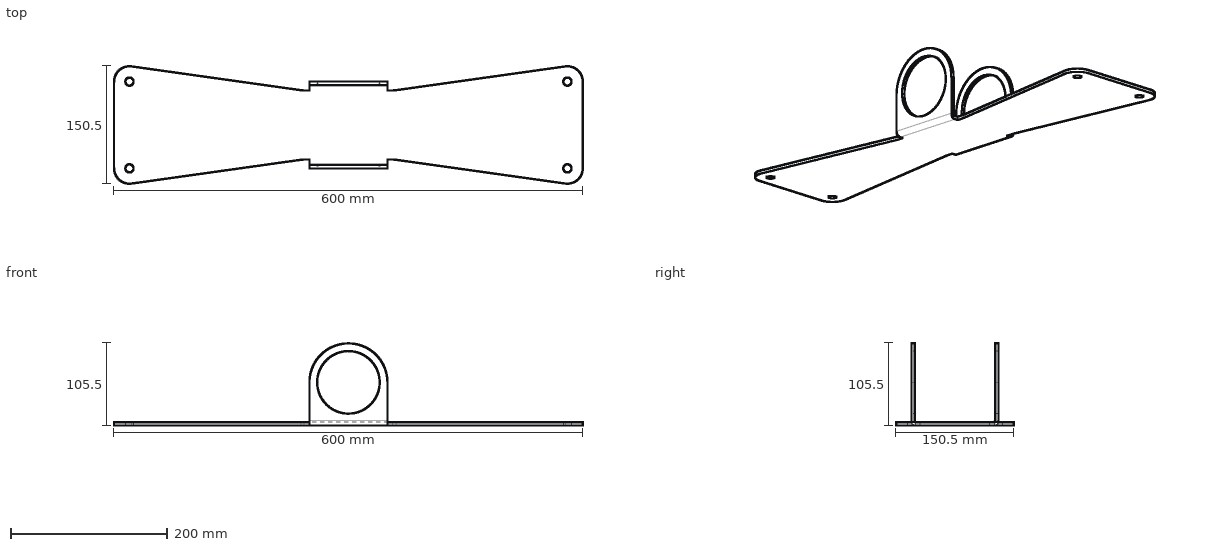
import cadquery as cq
import math

length = 600.0
width = 150.5
thickness = 4.5
corner_radius = 20.0
neck_width = 89.0
neck_half_length = 59.0
neck_blend_radius = 30.0
mount_hole_diameter = 10.0

tab_width = 100.0
tab_span = 111.5
total_height = 105.5
bend_inner_radius = 2.0
ring_hole_diameter = 80.0

corner_x = length / 2 - corner_radius
corner_y = width / 2 - corner_radius

bend_outer_radius = bend_inner_radius + thickness
tab_radius = tab_width / 2
ring_center_z = total_height - tab_radius


def make_plate():
    """Bow-tie plate whose tapered edges run tangent into the rounded corners."""
    run = corner_x - neck_half_length
    rise = corner_y - neck_width / 2
    taper = math.atan2(rise, run) + math.asin(corner_radius / math.hypot(run, rise))
    tangent_x = corner_x - corner_radius * math.sin(taper)
    tangent_y = corner_y + corner_radius * math.cos(taper)
    arc_middle_angle = (taper + math.pi / 2) / 2
    middle_x = corner_x + corner_radius * math.cos(arc_middle_angle)
    middle_y = corner_y + corner_radius * math.sin(arc_middle_angle)

    quarter = (
        cq.Workplane("XY")
        .lineTo(0, neck_width / 2)
        .lineTo(neck_half_length, neck_width / 2)
        .lineTo(tangent_x, tangent_y)
        .threePointArc((middle_x, middle_y), (length / 2, corner_y))
        .lineTo(length / 2, 0)
        .close()
        .extrude(thickness)
    )
    neck_corner = cq.selectors.NearestToPointSelector(
        (neck_half_length, neck_width / 2, thickness / 2)
    )
    quarter = quarter.edges("|Z").edges(neck_corner).fillet(neck_blend_radius)
    half = quarter.union(quarter.mirror("YZ"))
    plate = half.union(half.mirror("XZ"))
    return (
        plate.faces(">Z").workplane(origin=(0, 0, thickness))
        .rect(2 * corner_x, 2 * corner_y, forConstruction=True)
        .vertices()
        .hole(mount_hole_diameter)
    )


def make_tab():
    """Ring tab on the +Y side: flat strip, bend and upright in one profile."""
    outer_y = tab_span / 2
    inner_y = outer_y - thickness
    bend_y = outer_y - bend_outer_radius
    diagonal = math.sqrt(0.5)

    strip = (
        cq.Workplane("YZ")
        .lineTo(bend_y, 0)
        .threePointArc(
            (bend_y + bend_outer_radius * diagonal, bend_outer_radius * (1 - diagonal)),
            (outer_y, bend_outer_radius),
        )
        .lineTo(outer_y, total_height)
        .lineTo(inner_y, total_height)
        .lineTo(inner_y, bend_outer_radius)
        .threePointArc(
            (bend_y + bend_inner_radius * diagonal, bend_outer_radius - bend_inner_radius * diagonal),
            (bend_y, thickness),
        )
        .lineTo(0, thickness)
        .close()
        .extrude(tab_radius, both=True)
    )
    silhouette = (
        cq.Workplane("XZ")
        .moveTo(-tab_radius, 0)
        .lineTo(tab_radius, 0)
        .lineTo(tab_radius, ring_center_z)
        .threePointArc((0, total_height), (-tab_radius, ring_center_z))
        .close()
        .extrude(-tab_span)
    )
    opening = (
        cq.Workplane("XZ")
        .center(0, ring_center_z)
        .circle(ring_hole_diameter / 2)
        .extrude(-tab_span)
    )
    return strip.intersect(silhouette).cut(opening)


tab = make_tab()
result = make_plate().union(tab).union(tab.mirror("XZ")).clean()